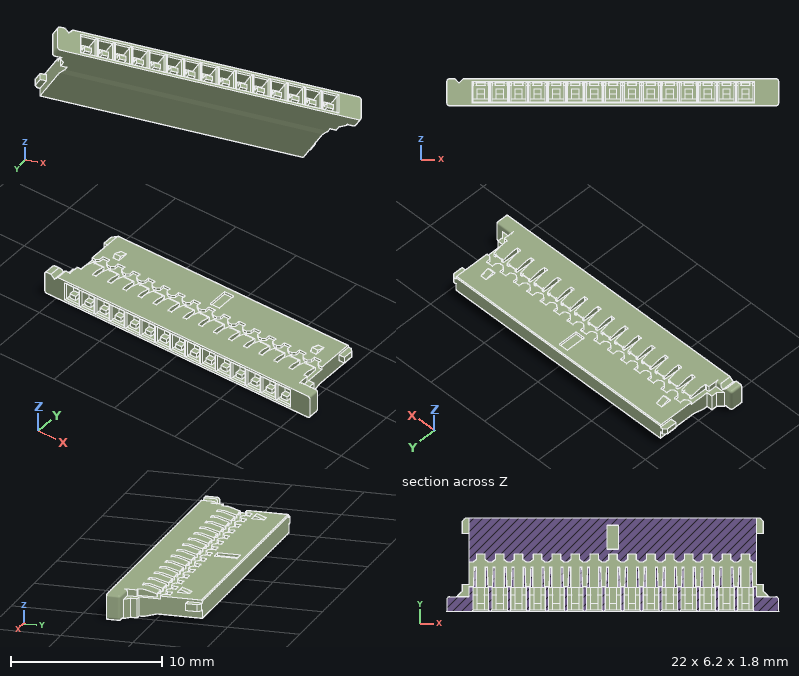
import cadquery as cq

LENGTH = 21.97
DEPTH = 6.2
HEIGHT = 1.8
MID_X = LENGTH / 2

CELL_COUNT = 15
ROW_SPAN = 17.5
PITCH = ROW_SPAN / (CELL_COUNT - 1)
ROW_SHIFT = 0.02
FIRST_CELL_X = MID_X + ROW_SHIFT - ROW_SPAN / 2

FLANGE_DEPTH = 0.99
FLANGE_ROUND = 0.2
KEY_NOTCH_X = 0.81
KEY_NOTCH_DEPTH = 0.29

BODY_WIDTH = 19.05
BODY_LEFT = MID_X - BODY_WIDTH / 2
UNDERSIDE_REAR = 0.26
UNDERSIDE_RAMP_START_Y = 2.13
UNDERSIDE_RAMP_END_Y = 3.05
TOP_REAR = 1.54
REAR_BEVEL = 0.07
SLOT_FLOOR = 1.35
SLOT_FRONT = 1.65
SLOT_REAR = 3.27
RAMP_TOP_Y = 2.09
RAMP_END_Y = 2.95

SIDE_REACH = 0.45
SHOULDER_REAR = 1.8
SHOULDER_BEND = 1.36
SHOULDER_FOOT = 0.37
EAR_DEPTH = 1.03
EAR_BOTTOM = 0.85
EAR_CHAMFER = 0.22

TONGUE_FRONT_WIDTH = 0.97
TONGUE_END_WIDTH = 0.88
TONGUE_END_TOP = 1.55
CHANNEL_WIDTH = 0.6
NOTCH_WIDTH = 0.55
NOTCH_REAR = 3.8
NOTCH_FLARE_Y = 3.45
NOTCH_MOUTH = 1.0

CAVITY_WIDTH = 1.0
CAVITY_BOTTOM = 0.26
CAVITY_TOP = 1.52
FUNNEL_RIM = 0.09
FUNNEL_DEPTH = 0.1
CAVITY_STEP_Y = 1.1
CAVITY_STEP_Z = 0.46
CAVITY_REAR = 1.58

POST_WIDTH = 0.48
POST_FRONT = 0.1
POST_STEP_Y = 0.53
POST_STEP_Z = 0.8
POST_TOP = 1.12

BUMP_WIDTH = 0.48
BUMP_SPACING = 16.35
BUMP_FRONT = 4.1
BUMP_PEAK_Y = 4.3
BUMP_REAR = 4.97
BUMP_TOP = 1.75
POCKET_WIDTH = 0.75
POCKET_FRONT = 4.13
POCKET_REAR = 5.71
POCKET_FLOOR = SLOT_FLOOR


def block(x0, x1, y0, y1, z0, z1):
    """Box given by its limits along each axis."""
    return cq.Workplane("XY").box(x1 - x0, y1 - y0, z1 - z0, centered=False).translate((x0, y0, z0))


def centred_block(x, width, y0, y1, z0, z1):
    """Box centred on x, given by its limits along y and z."""
    return block(x - width / 2, x + width / 2, y0, y1, z0, z1)


def side_profile(points, x, width):
    """Outline in (y, z) extruded along X and centred on x."""
    return cq.Workplane("YZ").polyline(points).close().extrude(width).translate((x - width / 2, 0, 0))


def plan_profile(points, z0, z1):
    """Outline in (x, y) extruded from z0 to z1."""
    return cq.Workplane("XY").workplane(offset=z0).polyline(points).close().extrude(z1 - z0)


def mirrored_pair(left):
    """The left-hand solid and its mirror image about the middle of the length."""
    return [left, left.mirror("YZ", (MID_X, 0, 0))]


def make_flange():
    flange = block(0, LENGTH, 0, FLANGE_DEPTH, 0, HEIGHT)
    flange = flange.edges("|Y or >Y").fillet(FLANGE_ROUND)
    key_notch = cq.Workplane("XZ").polyline([
        (KEY_NOTCH_X - KEY_NOTCH_DEPTH, HEIGHT),
        (KEY_NOTCH_X, HEIGHT - KEY_NOTCH_DEPTH),
        (KEY_NOTCH_X + KEY_NOTCH_DEPTH, HEIGHT),
    ]).close().extrude(-FLANGE_DEPTH)
    return flange.cut(key_notch)


def make_body():
    return side_profile([
        (0, 0),
        (UNDERSIDE_RAMP_START_Y, 0),
        (UNDERSIDE_RAMP_END_Y, UNDERSIDE_REAR),
        (DEPTH, UNDERSIDE_REAR),
        (DEPTH, TOP_REAR - REAR_BEVEL),
        (DEPTH - REAR_BEVEL, TOP_REAR),
        (SLOT_REAR, TOP_REAR),
        (SLOT_REAR, SLOT_FLOOR),
        (SLOT_FRONT, SLOT_FLOOR),
        (SLOT_FRONT, HEIGHT),
        (0, HEIGHT),
    ], MID_X, BODY_WIDTH)


def make_shoulder():
    reach_x = BODY_LEFT - SIDE_REACH
    return plan_profile([
        (BODY_LEFT, SHOULDER_REAR),
        (reach_x, SHOULDER_REAR),
        (reach_x, SHOULDER_BEND),
        (reach_x - SHOULDER_FOOT, SHOULDER_BEND - SHOULDER_FOOT),
        (reach_x - SHOULDER_FOOT, FLANGE_DEPTH / 2),
        (BODY_LEFT, FLANGE_DEPTH / 2),
    ], 0, SLOT_FLOOR)


def make_ear():
    ear = block(BODY_LEFT - SIDE_REACH, BODY_LEFT, DEPTH - EAR_DEPTH, DEPTH, EAR_BOTTOM, SLOT_FLOOR)
    return ear.edges("|Z and <X and >Y").chamfer(EAR_CHAMFER)


def make_bump():
    return side_profile([
        (BUMP_FRONT, TOP_REAR),
        (BUMP_PEAK_Y, BUMP_TOP),
        (BUMP_REAR, TOP_REAR),
    ], MID_X - BUMP_SPACING / 2, BUMP_WIDTH)


def make_tongue():
    """Solid tongue with a ramped top, narrowing toward its rear end."""
    ramp = side_profile([
        (SLOT_FRONT, SLOT_FLOOR),
        (RAMP_END_Y, SLOT_FLOOR),
        (RAMP_END_Y, TONGUE_END_TOP),
        (RAMP_TOP_Y, HEIGHT),
        (SLOT_FRONT, HEIGHT),
    ], 0, TONGUE_FRONT_WIDTH)
    taper = plan_profile([
        (-TONGUE_FRONT_WIDTH / 2, SLOT_FRONT),
        (-TONGUE_END_WIDTH / 2, RAMP_END_Y),
        (TONGUE_END_WIDTH / 2, RAMP_END_Y),
        (TONGUE_FRONT_WIDTH / 2, SLOT_FRONT),
    ], SLOT_FLOOR, HEIGHT)
    return ramp.intersect(taper)


def make_rear_notch():
    return plan_profile([
        (-NOTCH_MOUTH / 2, SLOT_REAR),
        (-NOTCH_WIDTH / 2, NOTCH_FLARE_Y),
        (-NOTCH_WIDTH / 2, NOTCH_REAR),
        (NOTCH_WIDTH / 2, NOTCH_REAR),
        (NOTCH_WIDTH / 2, NOTCH_FLARE_Y),
        (NOTCH_MOUTH / 2, SLOT_REAR),
    ], SLOT_FLOOR, TOP_REAR)


def make_cavity():
    """Stepped cell with a flared mouth, and the narrow channel that runs out under its tongue."""
    front = centred_block(0, CAVITY_WIDTH, 0, CAVITY_STEP_Y, CAVITY_BOTTOM, CAVITY_TOP)
    rear = centred_block(0, CAVITY_WIDTH, 0, CAVITY_REAR, CAVITY_STEP_Z, CAVITY_TOP)
    channel = centred_block(0, CHANNEL_WIDTH, 0, RAMP_END_Y, SLOT_FLOOR, CAVITY_TOP)
    cavity_height = CAVITY_TOP - CAVITY_BOTTOM
    mouth = (
        cq.Workplane("XZ", origin=(0, 0, CAVITY_BOTTOM + cavity_height / 2))
        .rect(CAVITY_WIDTH + 2 * FUNNEL_RIM, cavity_height + 2 * FUNNEL_RIM)
        .workplane(offset=-FUNNEL_DEPTH)
        .rect(CAVITY_WIDTH, cavity_height)
        .loft()
    )
    return front.union(rear).union(channel).union(mouth)


def make_post():
    lower = centred_block(0, POST_WIDTH, POST_FRONT, CAVITY_REAR, CAVITY_STEP_Z, POST_STEP_Z)
    upper = centred_block(0, POST_WIDTH, POST_STEP_Y, CAVITY_REAR, POST_STEP_Z, POST_TOP)
    return lower.union(upper)


def cell_row(shape):
    """One copy of a shape centred on x = 0 at every cell."""
    centres = [(FIRST_CELL_X + i * PITCH, 0) for i in range(CELL_COUNT)]
    return cq.Workplane("XY").pushPoints(centres).eachpoint(shape.val(), useLocalCoordinates=True)


result = make_body().union(make_flange())
for left in (make_shoulder(), make_ear(), make_bump()):
    for side in mirrored_pair(left):
        result = result.union(side)

result = result.union(cell_row(make_tongue()))
result = result.cut(cell_row(make_rear_notch()))
result = result.cut(cell_row(make_cavity()))
result = result.union(cell_row(make_post()))

result = result.cut(centred_block(MID_X, POCKET_WIDTH, POCKET_FRONT, POCKET_REAR, POCKET_FLOOR, TOP_REAR))